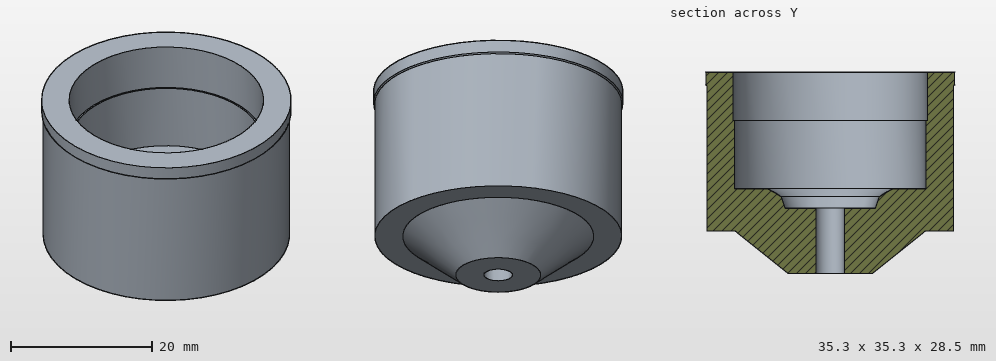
import cadquery as cq

flange_diameter = 35.3
flange_height = 1.85
body_diameter = 34.95
body_height = 20.47
nose_height = 6.0
nose_top_diameter = 27.0
nose_tip_diameter = 12.0

upper_bore_diameter = 27.5
upper_bore_depth = 6.8
lower_bore_diameter = 27.0
bore_depth = 16.5

funnel_mouth_diameter = 17.65
funnel_throat_diameter = 13.85
funnel_floor_diameter = 12.7
funnel_mouth_height = 1.13
funnel_base_height = 1.62
outlet_diameter = 4.02

flange_overhang = (flange_diameter - body_diameter) / 2

body_top = nose_height + body_height
flange_bottom = body_top + flange_overhang
rim = flange_bottom + flange_height
bore_step = rim - upper_bore_depth
bore_floor = rim - bore_depth
funnel_throat = bore_floor - funnel_mouth_height
funnel_floor = funnel_throat - funnel_base_height


def turned(steps):
    """Solid of revolution about Z through (diameter, level) corners, closed along the axis."""
    bottom = steps[0][1]
    top = steps[-1][1]
    corners = [(diameter / 2, level) for diameter, level in steps]
    profile = cq.Workplane("YZ").polyline([(0, bottom)] + corners + [(0, top)]).close()
    return profile.revolve(360, (0, 0), (0, 1))


outer = turned([
    (nose_tip_diameter, 0),
    (nose_top_diameter, nose_height),
    (body_diameter, nose_height),
    (body_diameter, body_top),
    (flange_diameter, flange_bottom),
    (flange_diameter, rim),
])

cavity = turned([
    (outlet_diameter, 0),
    (outlet_diameter, funnel_floor),
    (funnel_floor_diameter, funnel_floor),
    (funnel_throat_diameter, funnel_throat),
    (funnel_mouth_diameter, bore_floor),
    (lower_bore_diameter, bore_floor),
    (lower_bore_diameter, bore_step),
    (upper_bore_diameter, bore_step),
    (upper_bore_diameter, rim),
])

result = outer.cut(cavity)